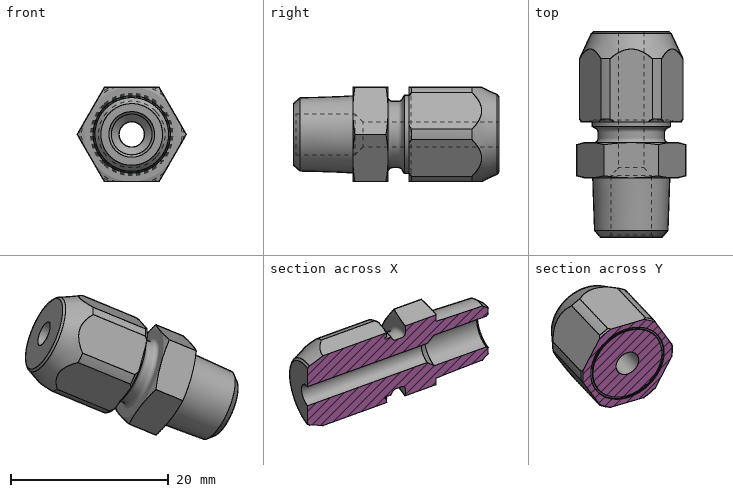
import cadquery as cq
import math

length = 26.1
across_flats = 12
hex_corner_radius = across_flats / math.sqrt(3)

stem_end = -length / 2
nut_end = length / 2
stem_chamfer_start = -12.2
body_hex_start = -5.5
body_hex_end = -1.05
nut_start = 1.6
nut_chamfer = 0.37
nut_cone_start = 9.6
nut_rim_start = 12.8

stem_tip_radius = 3.92
stem_small_radius = 4.67
stem_large_radius = 4.9
hex_face_radius = across_flats / 2
nut_corner_radius = 6.58
nut_base_radius = 6.37
nut_rim_radius = 5.1
nut_face_radius = 4.8

body_chamfer = 0.25

collar_radius = 4.99
collar_start = 1.02
neck_radius = 4.23
neck_fillet = 0.55
collar_cone_angle = math.radians(60)

recess_radius = 5.22
recess_depth = 0.25

passage_radius = 1.6
bore_radius = 2.58
bore_depth = 7.83
bore_cone_length = 1.0
bore_chamfer = 0.31


def revolve(profile):
    """Turn a closed (radius, y) profile around the Y axis."""
    return profile.close().revolve(360, (0, 0, 0), (0, 1, 0))


def turned(points):
    """Solid of revolution that joins the (radius, y) points and closes on the axis."""
    on_axis = [(0, points[0][1])] + points + [(0, points[-1][1])]
    return revolve(cq.Workplane("XY").polyline(on_axis))


def hexagon(start, end):
    """Hexagonal bar with corners on the X axis and flats facing Z."""
    bar = cq.Workplane("XZ", origin=(0, end, 0)).polygon(6, 2 * hex_corner_radius)
    return bar.extrude(end - start)


def make_stem():
    return turned([
        (stem_tip_radius, stem_end),
        (stem_small_radius, stem_chamfer_start),
        (stem_large_radius, body_hex_start),
    ])


def make_body_hex():
    envelope = turned([
        (hex_face_radius, body_hex_start),
        (hex_corner_radius, body_hex_start + body_chamfer),
        (hex_corner_radius, body_hex_end - body_chamfer),
        (hex_face_radius, body_hex_end),
    ])
    return hexagon(body_hex_start, body_hex_end).intersect(envelope)


def neck_fillet_point(neck_edge, angle, direction):
    """Point on a neck fillet, turned by angle from where it leaves the neck at neck_edge."""
    radius = neck_radius + neck_fillet * (1 - math.cos(angle))
    return (radius, neck_edge + direction * neck_fillet * math.sin(angle))


def make_neck():
    neck_start = body_hex_end + neck_fillet
    cone_foot_radius = neck_radius + neck_fillet * (1 - math.cos(collar_cone_angle))
    cone_foot = collar_start - (collar_radius - cone_foot_radius) / math.tan(collar_cone_angle)
    neck_end = cone_foot - neck_fillet * math.sin(collar_cone_angle)
    profile = (
        cq.Workplane("XY")
        .moveTo(0, body_hex_end)
        .lineTo(neck_radius + neck_fillet, body_hex_end)
        .threePointArc(
            neck_fillet_point(neck_start, math.pi / 4, -1),
            (neck_radius, neck_start),
        )
        .lineTo(neck_radius, neck_end)
        .threePointArc(
            neck_fillet_point(neck_end, collar_cone_angle / 2, 1),
            (cone_foot_radius, cone_foot),
        )
        .lineTo(collar_radius, collar_start)
        .lineTo(collar_radius, nut_start + recess_depth)
        .lineTo(0, nut_start + recess_depth)
    )
    return revolve(profile)


def make_nut():
    envelope = turned([
        (nut_base_radius, nut_start),
        (nut_corner_radius, nut_start + nut_chamfer),
        (nut_corner_radius, nut_cone_start),
        (nut_rim_radius, nut_rim_start),
        (nut_face_radius, nut_end),
    ])
    recess = turned([
        (recess_radius, nut_start),
        (recess_radius, nut_start + recess_depth),
    ])
    return hexagon(nut_start, nut_end).intersect(envelope).cut(recess)


def make_bore():
    bore_end = stem_end + bore_depth
    return turned([
        (bore_radius + bore_chamfer, stem_end),
        (bore_radius, stem_end + bore_chamfer),
        (bore_radius, bore_end),
        (passage_radius, bore_end + bore_cone_length),
        (passage_radius, nut_end),
    ])


fitting = make_stem().union(make_body_hex()).union(make_neck()).union(make_nut())
result = fitting.cut(make_bore())